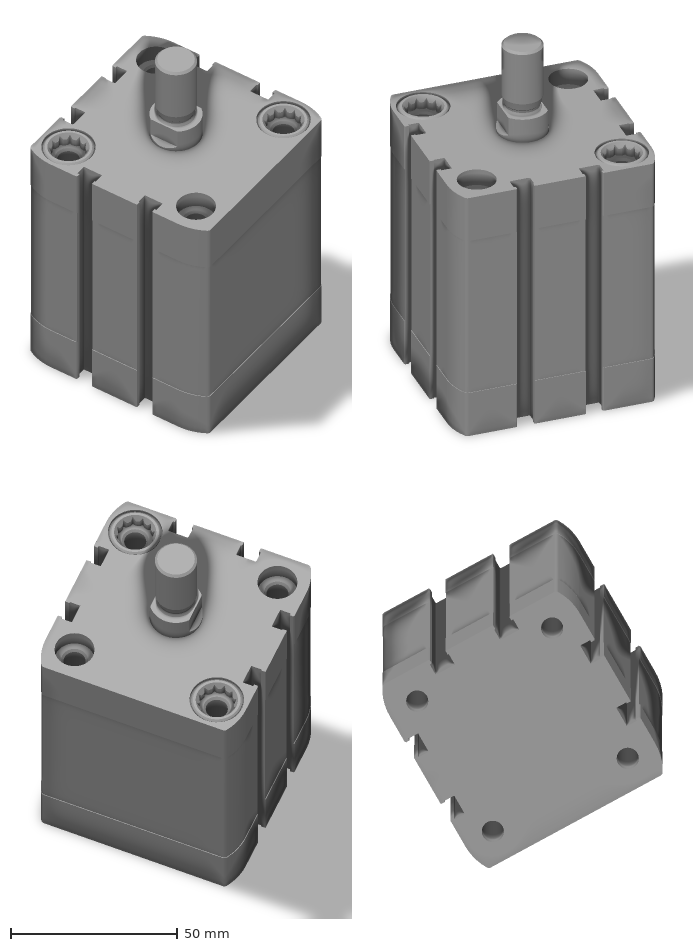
import cadquery as cq
import math


cap_width = 65.5
cap_half = cap_width / 2
barrel_inset = 0.2
cap_height = 15.0
housing_height = 83.0
barrel_height = housing_height - 2 * cap_height
corner_arc_radius = 17.5
corner_edge_radius = 1.2
bolt_offset = 23.25

slot_offset = 11.1
slot_width = 6.55
slot_depth = 4.8
side_slot_depth = 5.1
lip_thickness = 1.4
mouth_inner = 8.2
mouth_outer = 13.7
mouth_chamfer = 0.3
side_slot_corner_radius = 0.4

through_diameter = 6.65
rim_diameter = 8.0
rim_chamfer = (rim_diameter - through_diameter) / 2
counterbore_diameter = 12.0
counterbore_depth = 5.4

head_groove_outer = 16.4
head_diameter = 15.5
head_chamfer = 0.6
head_groove_depth = 1.0
socket_points = 12
socket_tip_diameter = 12.0
socket_bore_diameter = 10.6
socket_entry_diameter = 12.7
socket_entry_depth = 1.8
socket_depth = 4.2
socket_groove_half_angle = 8.5

rod_diameter = 16.0
thread_diameter = 12.7
neck_diameter = 10.6
rod_height = 30.3
shoulder_height = 8.0
thread_bottom = 12.4
tip_chamfer = 0.7
run_out_diameter = 11.4
run_out_height = 2.5
neck_foot = 0.8
neck_foot_flare = 0.6
flat_distance = 12.7
flat_bottom = 1.8
flat_ramp_bottom = 0.7


def housing_section(half_width, height, bottom):
    """Square prism whose Y faces sweep into the corners in broad arcs."""
    arc_center_y = half_width - corner_arc_radius
    run = half_width - bolt_offset

    def on_arc(distance):
        return arc_center_y + math.sqrt(corner_arc_radius ** 2 - distance ** 2)

    middle = (bolt_offset + run / 2, on_arc(run / 2))
    corner = (half_width, on_arc(run))
    outline = (
        cq.Workplane("XY", origin=(0, 0, bottom))
        .moveTo(-bolt_offset, half_width)
        .lineTo(bolt_offset, half_width)
        .threePointArc(middle, corner)
        .lineTo(corner[0], -corner[1])
        .threePointArc((middle[0], -middle[1]), (bolt_offset, -half_width))
        .lineTo(-bolt_offset, -half_width)
        .threePointArc((-middle[0], -middle[1]), (-corner[0], -corner[1]))
        .lineTo(-corner[0], corner[1])
        .threePointArc((-middle[0], middle[1]), (-bolt_offset, half_width))
        .close()
    )
    return outline.extrude(height).edges("|Z and (>X or <X)").fillet(corner_edge_radius)


def slot_cutter(depth, corner_radius):
    """Full-height T-slot in the -Y face, on the +X side of the axis, with chamfered cap mouths."""
    mouth = (
        cq.Workplane("XY")
        .moveTo(mouth_inner, -cap_half)
        .lineTo(mouth_outer, -cap_half)
        .lineTo(mouth_outer, lip_thickness - cap_half)
        .lineTo(mouth_inner, lip_thickness - cap_half)
        .close()
        .extrude(housing_height)
    )
    channel_depth = depth - lip_thickness
    channel = (
        cq.Workplane("XY")
        .center(slot_offset, lip_thickness + channel_depth / 2 - cap_half)
        .rect(slot_width, channel_depth)
        .extrude(housing_height)
    )
    if corner_radius > 0:
        channel = channel.edges("|Z and >Y").fillet(corner_radius)
    cutter = mouth.union(channel)
    for bottom in (0, housing_height - cap_height):
        edge_break = (
            cq.Workplane("XY", origin=(0, 0, bottom))
            .moveTo(mouth_outer, -cap_half)
            .lineTo(mouth_outer + mouth_chamfer, -cap_half)
            .lineTo(mouth_outer, mouth_chamfer - cap_half)
            .close()
            .extrude(cap_height)
        )
        cutter = cutter.union(edge_break)
    return cutter


def slot_pair(depth, corner_radius, angle):
    """Two mirrored T-slots in the -Y face, turned about Z to another face."""
    slot = slot_cutter(depth, corner_radius)
    pair = slot.union(slot.mirror("YZ"))
    return pair.rotate((0, 0, 0), (0, 0, 1), angle)


def bolt_hole(x, y, floor_depth):
    """Through hole with a chamfered rim at the floor of its counterbore or socket."""
    floor = housing_height - floor_depth
    hole = cq.Workplane("XY", origin=(x, y, 0)).circle(through_diameter / 2).extrude(floor)
    rim = (
        cq.Workplane("XY", origin=(x, y, floor - rim_chamfer))
        .circle(through_diameter / 2)
        .workplane(offset=rim_chamfer)
        .circle(rim_diameter / 2)
        .loft(combine=True)
    )
    return hole.union(rim)


def counterbore(x, y):
    """Plain round counterbore from the top face."""
    floor = housing_height - counterbore_depth
    start = cq.Workplane("XY", origin=(x, y, floor))
    return start.circle(counterbore_diameter / 2).extrude(counterbore_depth)


def head_groove(x, y):
    """Narrow ring around the screw head, with the head's outer edge chamfered."""
    head_radius = head_diameter / 2
    return (
        cq.Workplane("XZ")
        .moveTo(head_radius, -head_groove_depth)
        .lineTo(head_groove_outer / 2, -head_groove_depth)
        .lineTo(head_groove_outer / 2, 0)
        .lineTo(head_radius - head_chamfer, 0)
        .lineTo(head_radius, -head_chamfer)
        .close()
        .revolve(360, (0, 0, 0), (0, 1, 0))
        .translate((x, y, housing_height))
    )


def socket(x, y):
    """Twelve-point socket: round bore with V-grooves and a tapered entry."""
    bore_radius = socket_bore_diameter / 2
    half_angle = math.radians(socket_groove_half_angle)
    points = []
    for index in range(socket_points):
        tip_angle = 2 * math.pi * index / socket_points
        for radius, angle in (
            (bore_radius, tip_angle - half_angle),
            (socket_tip_diameter / 2, tip_angle),
            (bore_radius, tip_angle + half_angle),
        ):
            points.append((radius * math.cos(angle), radius * math.sin(angle)))
    floor = housing_height - socket_depth
    star = cq.Workplane("XY", origin=(x, y, floor)).polyline(points).close().extrude(socket_depth)
    entry = (
        cq.Workplane("XY", origin=(x, y, housing_height - socket_entry_depth))
        .circle(bore_radius)
        .workplane(offset=socket_entry_depth)
        .circle(socket_entry_diameter / 2)
        .loft(combine=True)
    )
    return star.union(entry)


def make_housing():
    barrel = housing_section(cap_half - barrel_inset, barrel_height, cap_height)
    body = housing_section(cap_half, cap_height, 0).union(barrel)
    body = body.union(housing_section(cap_half, cap_height, housing_height - cap_height))

    for angle in (0, 180):
        body = body.cut(slot_pair(slot_depth, 0, angle))
    body = body.cut(slot_pair(side_slot_depth, side_slot_corner_radius, -90))

    for side in (-1, 1):
        x = side * bolt_offset
        body = body.cut(bolt_hole(x, -x, counterbore_depth)).cut(counterbore(x, -x))
        body = body.cut(bolt_hole(x, x, socket_depth)).cut(socket(x, x)).cut(head_groove(x, x))
    return body


def make_piston_rod():
    """Turned rod standing on the housing, with an undercut thread end and two wrench flats."""
    rod_radius = rod_diameter / 2
    thread_radius = thread_diameter / 2
    neck_radius = neck_diameter / 2

    run_out_radius = run_out_diameter / 2
    run_out_bottom = thread_bottom - run_out_height
    neck_top = run_out_bottom - (run_out_radius - neck_radius)

    rod = (
        cq.Workplane("XZ")
        .moveTo(0, 0)
        .lineTo(rod_radius, 0)
        .lineTo(rod_radius, shoulder_height)
        .lineTo(neck_radius + neck_foot_flare, shoulder_height)
        .lineTo(neck_radius, shoulder_height + neck_foot)
        .lineTo(neck_radius, neck_top)
        .lineTo(run_out_radius, run_out_bottom)
        .lineTo(thread_radius, thread_bottom)
        .lineTo(thread_radius, rod_height - tip_chamfer)
        .lineTo(thread_radius - tip_chamfer, rod_height)
        .lineTo(0, rod_height)
        .close()
        .revolve(360, (0, 0, 0), (0, 1, 0))
    )

    flat = (
        cq.Workplane("YZ")
        .moveTo(flat_distance / 2, shoulder_height)
        .lineTo(flat_distance / 2, flat_bottom)
        .lineTo(rod_radius, flat_ramp_bottom)
        .lineTo(rod_radius, shoulder_height)
        .close()
        .extrude(rod_radius, both=True)
    )
    rod = rod.cut(flat).cut(flat.mirror("XZ"))
    return rod.translate((0, 0, housing_height))


housing = make_housing()
piston_rod = make_piston_rod()

result = cq.Compound.makeCompound([housing.val(), piston_rod.val()])